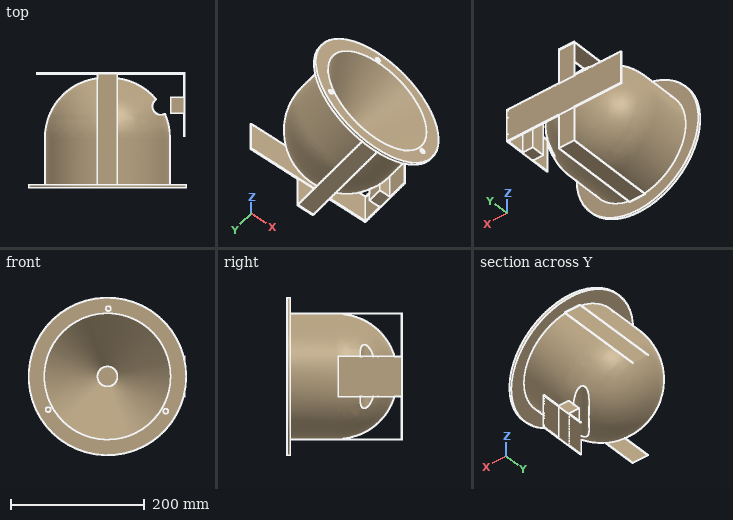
import cadquery as cq
import math

flange_radius = 118
flange_thickness = 5

housing_radius = 93.75
housing_back = 165
dome_round = 90

mouth_radius = 94.5
throat_radius = 15
horn_depth = 110

recess_count = 3
recess_radius = 3.75
recess_depth = 1
recess_circle_radius = 101.5
first_recess_angle = 89.2

notch_radius = 12.5
notch_x = 80
notch_y = 122

bracket_back = 172
strap_width = 30
strap_thickness = 1
strap_reach = housing_radius + strap_thickness
post_thickness = 1
arm_height = 60
arm_thickness = 2
arm_left = -105.5
arm_right = 115.5
side_plate_thickness = 1.5
side_plate_front = 77
block_left = 94.5
block_front = 111.5
block_back = 136


def box_between(x_range, y_range, z_range):
    """Axis-aligned box between two limits on each axis."""
    sizes = [high - low for low, high in (x_range, y_range, z_range)]
    corner = (x_range[0], y_range[0], z_range[0])
    return cq.Workplane("XY").box(*sizes, centered=False).translate(corner)


def make_housing():
    """Flanged, domed housing with a conical horn cavity and a side notch."""
    dome_start = housing_back - dome_round
    back_flat_radius = housing_radius - dome_round
    diagonal = dome_round * math.sqrt(0.5)
    profile = (
        cq.Workplane("XY")
        .lineTo(flange_radius, 0)
        .lineTo(flange_radius, flange_thickness)
        .lineTo(housing_radius, flange_thickness)
        .lineTo(housing_radius, dome_start)
        .threePointArc(
            (back_flat_radius + diagonal, dome_start + diagonal),
            (back_flat_radius, housing_back),
        )
        .lineTo(0, housing_back)
        .close()
    )
    housing = profile.revolve(360, (0, 0), (0, 1))

    horn = (
        cq.Workplane("XY")
        .lineTo(mouth_radius, 0)
        .lineTo(throat_radius, horn_depth)
        .lineTo(0, horn_depth)
        .close()
        .revolve(360, (0, 0), (0, 1))
    )

    recesses = (
        cq.Workplane("XZ")
        .polarArray(recess_circle_radius, first_recess_angle, 360, recess_count)
        .circle(recess_radius)
        .extrude(-recess_depth)
    )

    notch = (
        cq.Workplane("XY")
        .center(notch_x, notch_y)
        .circle(notch_radius)
        .extrude(housing_radius, both=True)
    )
    return housing.cut(horn).cut(recesses).cut(notch)


def make_bracket():
    """Straps over the housing, a post, and a cross arm with a side plate and block."""
    half_strap = strap_width / 2
    half_arm = arm_height / 2
    strap_x = (-half_strap, half_strap)
    arm_z = (-half_arm, half_arm)

    post_y = (bracket_back - post_thickness, bracket_back)
    bracket = box_between(strap_x, post_y, (-strap_reach, strap_reach))
    for strap_z in ((housing_radius, strap_reach), (-strap_reach, -housing_radius)):
        bracket = bracket.union(box_between(strap_x, (flange_thickness, bracket_back), strap_z))

    plate_left = arm_right - side_plate_thickness
    arm_y = (bracket_back - arm_thickness, bracket_back)
    arm = box_between((arm_left, arm_right), arm_y, arm_z)
    side_plate = box_between((plate_left, arm_right), (side_plate_front, bracket_back), arm_z)
    block = box_between((block_left, plate_left), (block_front, block_back), arm_z)
    return bracket.union(arm).union(side_plate).union(block)


housing = make_housing()
bracket = make_bracket()
result = cq.Compound.makeCompound([housing.val(), bracket.val()])